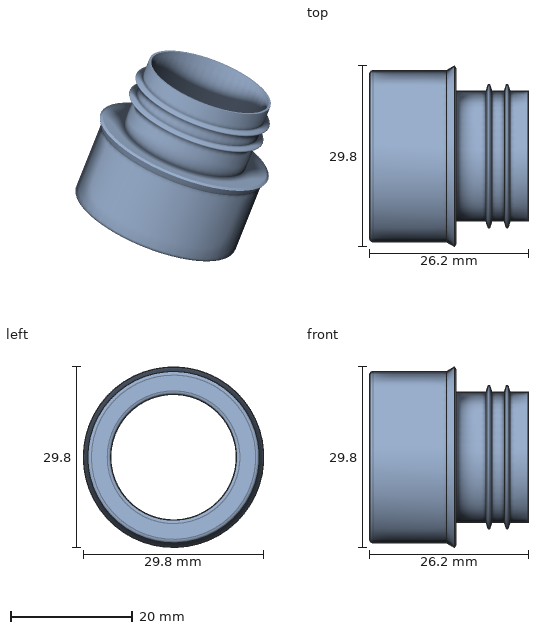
import cadquery as cq
import math

total_length = 26.2
shoulder_x = 14.27
lip_start_x = 12.72

bore_radius = 20.7 / 2
neck_radius = 21.5 / 2
body_radius = 28.3 / 2
lip_radius = 29.8 / 2
front_fillet = 0.6

lip_angle = math.radians(30)
lip_tip_x = lip_start_x + (lip_radius - body_radius) / math.tan(lip_angle)
lip_back_radius = lip_radius - (shoulder_x - lip_tip_x) / math.tan(lip_angle)

ridge_pitch = 3.0
first_ridge_x = 19.7
ridge_count = 2
ridge_radius = 23.65 / 2
crest_radius = 0.18
flank_angle = math.radians(18)


def revolve_about_x(profile):
    return profile.close().revolve(360, (0, 0, 0), (1, 0, 0))


def make_sleeve():
    profile = (
        cq.Workplane("XY")
        .moveTo(0, bore_radius)
        .lineTo(0, body_radius)
        .lineTo(lip_start_x, body_radius)
        .lineTo(lip_tip_x, lip_radius)
        .lineTo(shoulder_x, lip_back_radius)
        .lineTo(shoulder_x, neck_radius)
        .lineTo(total_length, neck_radius)
        .lineTo(total_length, bore_radius)
    )
    return revolve_about_x(profile).faces("<X").edges().fillet(front_fillet)


def make_ridge(center_x):
    root_radius = (bore_radius + neck_radius) / 2
    tangent_half_width = crest_radius * math.cos(flank_angle)
    tangent_radius = ridge_radius - crest_radius * (1 - math.sin(flank_angle))
    root_half_width = tangent_half_width + (tangent_radius - root_radius) * math.tan(flank_angle)
    profile = (
        cq.Workplane("XY")
        .moveTo(center_x - root_half_width, root_radius)
        .lineTo(center_x - tangent_half_width, tangent_radius)
        .threePointArc((center_x, ridge_radius), (center_x + tangent_half_width, tangent_radius))
        .lineTo(center_x + root_half_width, root_radius)
    )
    return revolve_about_x(profile)


result = make_sleeve()
for index in range(ridge_count):
    result = result.union(make_ridge(first_ridge_x + index * ridge_pitch))